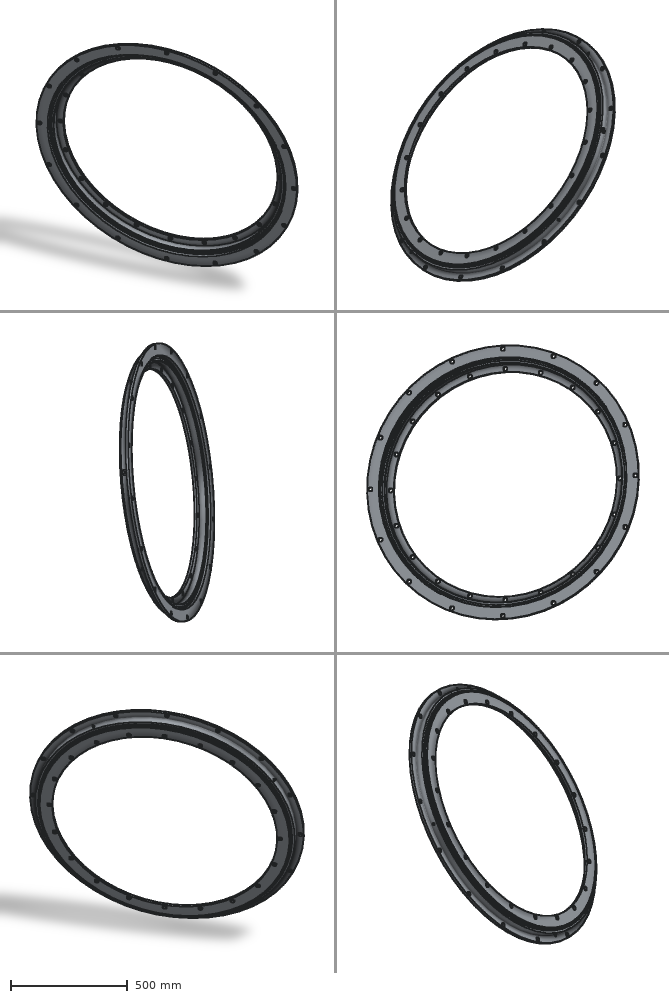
import cadquery as cq
import math


overall_diameter = 1198.0
overall_width = 56.0
flange_thickness = 12.0
front_drop = 11.0
rear_drop = 12.0

outer_ring_radius = overall_diameter / 2
outer_body_radius = 568.0
outer_bore_radius = 547.0
flange_root_fillet = 2.0

inner_ring_radius = 544.0
inner_cap_radius = 551.0
cap_chamfer = 5.0
inner_body_bore_radius = 524.0
inner_body_bore_chamfer = 2.0
inner_flange_bore_radius = 492.0

seal_thickness = 4.0
front_seal_inner_radius = 535.0
rear_seal_outer_radius = 557.0

bolt_hole_diameter = 18.0
outer_bolt_count = 16
outer_bolt_circle_radius = 585.0
inner_bolt_count = 20
inner_bolt_circle_radius = 505.0

plug_diameter = 24.0
plug_angle = 180 + 180 / outer_bolt_count
plug_hole_diameter = 6.0
plug_hole_depth = 12.0

nipple_count = 4
nipple_first_angle = 56.25
nipple_base_diameter = 10.0
nipple_tip_diameter = 4.0
nipple_height = 11.0
nipple_shank_diameter = 6.0

front_y = -overall_width / 2
rear_y = overall_width / 2
outer_flange_top_y = front_y + flange_thickness
inner_flange_top_y = rear_y - flange_thickness
inner_front_y = front_y + front_drop
front_seal_top_y = inner_front_y + seal_thickness
outer_rear_y = rear_y - rear_drop
rear_seal_top_y = outer_rear_y + seal_thickness
outer_wall = outer_body_radius - outer_bore_radius


def revolve_about_y(profile):
    """Solid of revolution about Y from an open profile, which is closed first."""
    return profile.close().revolve(360, (0, 0, 0), (0, 1, 0))


def section(points):
    """Open profile through (radius, y) points in the half plane on the +Z side."""
    return cq.Workplane("ZY").polyline(points)


def rectangular_ring(inner_radius, outer_radius, start_y, end_y):
    return revolve_about_y(section([
        (inner_radius, start_y),
        (outer_radius, start_y),
        (outer_radius, end_y),
        (inner_radius, end_y),
    ]))


def bolt_holes(count, circle_radius):
    """Cylinders through the full width along Y, evenly spaced from the +X axis."""
    return (
        cq.Workplane("XZ", origin=(0, rear_y, 0))
        .polarArray(circle_radius, 0, 360, count)
        .circle(bolt_hole_diameter / 2)
        .extrude(overall_width)
    )


def radial_plane(angle, radius):
    """Workplane at mid-width whose normal points radially outward at the angle from +X."""
    direction = (math.cos(math.radians(angle)), 0, math.sin(math.radians(angle)))
    origin = tuple(radius * part for part in direction)
    return cq.Workplane(cq.Plane(origin=origin, xDir=(0, 1, 0), normal=direction))


def radial_cylinder(angle, start_radius, length, diameter):
    """Cylinder at mid-width that runs radially outward from the start radius."""
    return radial_plane(angle, start_radius).circle(diameter / 2).extrude(length)


def make_plug_bore():
    """Radial cylinder that passes well beyond both faces of the outer ring's wall."""
    return radial_cylinder(plug_angle, outer_bore_radius - outer_wall, 3 * outer_wall, plug_diameter)


def make_plug():
    """Round plug flush with both faces of the outer ring's wall, with a blind hole in its outer end."""
    wall = rectangular_ring(outer_bore_radius, outer_body_radius, front_y, rear_y)
    hole_start_radius = outer_body_radius - plug_hole_depth
    hole = radial_cylinder(plug_angle, hole_start_radius, 2 * plug_hole_depth, plug_hole_diameter)
    return make_plug_bore().intersect(wall).cut(hole)


def make_nipple(angle):
    """Tapered head outside the outer ring on a shank that reaches through its wall."""
    shank = radial_cylinder(angle, outer_bore_radius, outer_wall, nipple_shank_diameter)
    head = (
        radial_plane(angle, outer_body_radius)
        .circle(nipple_base_diameter / 2)
        .workplane(offset=nipple_height)
        .circle(nipple_tip_diameter / 2)
        .loft()
    )
    return shank.union(head)


def make_outer_ring(nipples):
    profile = (
        section([
            (outer_body_radius, outer_rear_y),
            (outer_bore_radius, outer_rear_y),
            (outer_bore_radius, front_y),
            (outer_ring_radius, front_y),
            (outer_ring_radius, outer_flange_top_y),
            (outer_body_radius + flange_root_fillet, outer_flange_top_y),
        ])
        .tangentArcPoint((-flange_root_fillet, flange_root_fillet))
    )
    ring = revolve_about_y(profile)
    ring = ring.cut(bolt_holes(outer_bolt_count, outer_bolt_circle_radius))
    ring = ring.cut(make_plug_bore())
    for nipple in nipples:
        ring = ring.cut(nipple)
    return ring


def make_inner_ring():
    ring = revolve_about_y(section([
        (inner_flange_bore_radius, inner_flange_top_y),
        (inner_body_bore_radius, inner_flange_top_y),
        (inner_body_bore_radius, inner_front_y + inner_body_bore_chamfer),
        (inner_body_bore_radius + inner_body_bore_chamfer, inner_front_y),
        (front_seal_inner_radius, inner_front_y),
        (front_seal_inner_radius, front_seal_top_y),
        (inner_ring_radius, front_seal_top_y),
        (inner_ring_radius, rear_seal_top_y),
        (inner_cap_radius, rear_seal_top_y),
        (inner_cap_radius, rear_y - cap_chamfer),
        (inner_cap_radius - cap_chamfer, rear_y),
        (inner_flange_bore_radius, rear_y),
    ]))
    return ring.cut(bolt_holes(inner_bolt_count, inner_bolt_circle_radius))


nipples = [make_nipple(nipple_first_angle + i * 360 / nipple_count) for i in range(nipple_count)]
outer_ring = make_outer_ring(nipples)
inner_ring = make_inner_ring()
plug = make_plug()
front_seal = rectangular_ring(front_seal_inner_radius, inner_ring_radius, inner_front_y, front_seal_top_y)
rear_seal = rectangular_ring(inner_ring_radius, rear_seal_outer_radius, outer_rear_y, rear_seal_top_y)

result = cq.Compound.makeCompound([
    outer_ring.val(),
    inner_ring.val(),
    front_seal.val(),
    rear_seal.val(),
    plug.val(),
    *[nipple.val() for nipple in nipples],
])